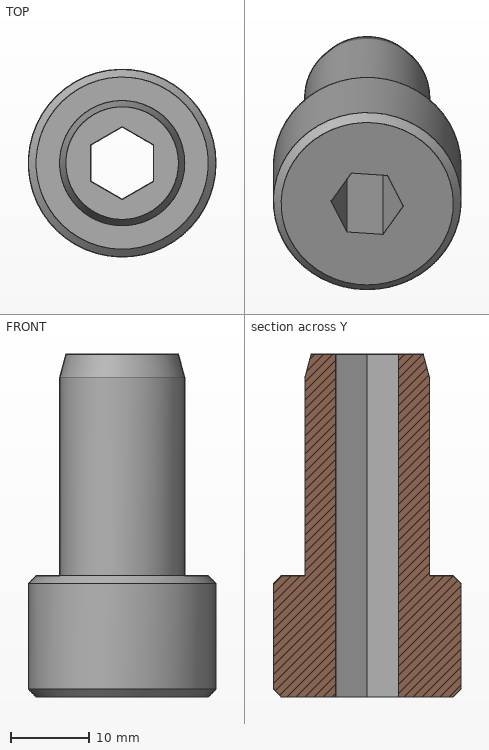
import cadquery as cq
import math

total_length = 43.8
head_diameter = 24.0
head_height = 15.5
head_chamfer = 1.0
shank_diameter = 16.0
tip_half_angle = 15.0
tip_length = 3.0
hex_across_flats = 8.0
hex_sides = 6


def make_body():
    """Revolve the half profile of head, shank and tapered tip about Z."""
    head_radius = head_diameter / 2
    chamfered_radius = head_radius - head_chamfer
    shank_radius = shank_diameter / 2
    tip_radius = shank_radius - tip_length * math.tan(math.radians(tip_half_angle))
    return (
        cq.Workplane("XZ")
        .moveTo(0, 0)
        .lineTo(chamfered_radius, 0)
        .lineTo(head_radius, head_chamfer)
        .lineTo(head_radius, head_height - head_chamfer)
        .lineTo(chamfered_radius, head_height)
        .lineTo(shank_radius, head_height)
        .lineTo(shank_radius, total_length - tip_length)
        .lineTo(tip_radius, total_length)
        .lineTo(0, total_length)
        .close()
        .revolve(360, (0, 0, 0), (0, 1, 0))
    )


def make_hex_bore():
    """Hexagonal prism along Z, full length, with two corners on the Y axis."""
    across_corners = hex_across_flats / math.cos(math.pi / hex_sides)
    return (
        cq.Workplane("XY")
        .polygon(hex_sides, across_corners)
        .extrude(total_length)
        .rotate((0, 0, 0), (0, 0, 1), 90)
    )


result = make_body().cut(make_hex_bore())